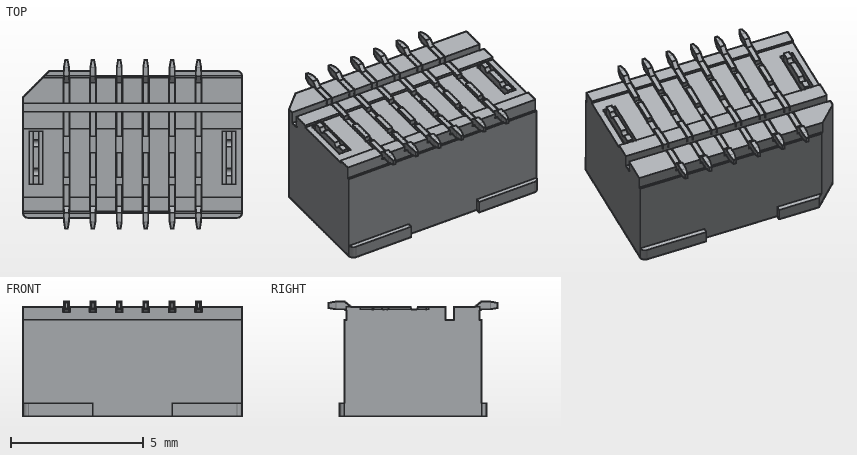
import cadquery as cq

housing_length = 8.3
housing_width = 5.2
housing_height = 4.15
shoulder_depth = 0.5
shoulder_inset = 0.08

foot_span_width = 5.57
foot_height = 0.5
foot_gap = 3.0
foot_corner_radius = 0.2
key_chamfer = 1.0

groove_back = 1.55
groove_front = 1.235
groove_depth = 0.5
recess_back = 0.59
recess_front = -2.0
recess_depth = 0.1

contact_count = 6
contact_pitch = 1.0
contact_width = 0.2
slot_width = 0.25
slot_depth = 0.2
tail_top = 4.35
tail_thickness = 0.3
tail_inner_bend = 2.34
tail_outer_bend = 2.59
tail_taper_start = 2.92
tail_end = 3.2
tail_side_taper = 0.05
tail_face_taper = 0.05
back_contact_end = 0.315
middle_contact_back = -0.31
middle_contact_front = -1.235
front_contact_end = -1.535

plate_offset = 3.655
plate_centre_y = -0.5
plate_length = 2.0
plate_thickness = 0.22
plate_pocket_width = 0.5
plate_pocket_depth = 0.3
notch_radius = 0.135
notch_spacing = 1.09

slot_floor = housing_height - slot_depth
recess_floor = housing_height - recess_depth
contact_positions = [
    (index - (contact_count - 1) / 2) * contact_pitch for index in range(contact_count)
]


def block(x_size, y_min, y_max, z_min, z_max, x_centre=0.0):
    """Box centred on x_centre between the given Y and Z limits."""
    return (
        cq.Workplane("XY", origin=(x_centre, (y_min + y_max) / 2, z_min))
        .box(x_size, y_max - y_min, z_max - z_min, centered=(True, True, False))
    )


def make_housing():
    """Stepped block on four feet, with one rear corner cut off as a key."""
    lower_half = housing_width / 2
    upper_half = lower_half - shoulder_inset
    shoulder_height = housing_height - shoulder_depth
    lower = block(housing_length, -lower_half, lower_half, 0, shoulder_height)
    upper = block(housing_length, -upper_half, upper_half, 0, housing_height)

    foot_half = foot_span_width / 2
    feet = block(housing_length, -foot_half, foot_half, 0, foot_height)
    feet = feet.edges("|Z").edges(">X or <Y").fillet(foot_corner_radius)
    for side in (-1, 1):
        gap_limits = sorted((side * lower_half, side * foot_half))
        feet = feet.cut(block(foot_gap, *gap_limits, 0, foot_height))

    key_corner = (
        cq.Workplane("XY")
        .moveTo(-housing_length / 2, foot_half)
        .lineTo(-housing_length / 2 + key_chamfer, foot_half)
        .lineTo(-housing_length / 2, foot_half - key_chamfer)
        .close()
        .extrude(housing_height)
    )
    return lower.union(upper).union(feet).cut(key_corner)


def cut_top_face(housing):
    """Cut the cross groove, the shallow recess and the contact slots."""
    groove_floor = housing_height - groove_depth
    housing = housing.cut(block(housing_length, groove_front, groove_back, groove_floor, housing_height))
    housing = housing.cut(block(housing_length, recess_front, recess_back, recess_floor, housing_height))
    for x in contact_positions:
        slot = block(slot_width, -housing_width / 2, housing_width / 2, slot_floor, housing_height, x)
        housing = housing.cut(slot)
    return housing


def make_tail(x, side, inner_end):
    """Contact lying in its slot from inner_end, bent up and out past the housing, with a tapered tip."""
    tail_bottom = tail_top - tail_thickness
    slope_run_per_rise = (tail_outer_bend - tail_inner_bend) / (tail_top - housing_height)
    underside_bend = tail_outer_bend - slope_run_per_rise * (tail_bottom - slot_floor)
    profile = [
        (side * inner_end, slot_floor),
        (side * inner_end, housing_height),
        (side * tail_inner_bend, housing_height),
        (side * tail_outer_bend, tail_top),
        (side * tail_taper_start, tail_top),
        (side * tail_taper_start, tail_bottom),
        (side * tail_outer_bend, tail_bottom),
        (side * underside_bend, slot_floor),
    ]
    bent_strip = (
        cq.Workplane("YZ", origin=(x - contact_width / 2, 0, 0))
        .polyline(profile)
        .close()
        .extrude(contact_width)
    )
    tip_plane = cq.Plane(
        origin=(x, side * tail_taper_start, tail_top - tail_thickness / 2),
        xDir=(1, 0, 0),
        normal=(0, side, 0),
    )
    tip = (
        cq.Workplane(tip_plane)
        .rect(contact_width, tail_thickness)
        .workplane(offset=tail_end - tail_taper_start)
        .rect(contact_width - 2 * tail_side_taper, tail_thickness - 2 * tail_face_taper)
        .loft(ruled=True)
    )
    return bent_strip.union(tip)


def add_contacts(housing):
    """Add the back tail, middle strip and front tail of every contact."""
    for x in contact_positions:
        back_strip = block(contact_width, back_contact_end, groove_front, slot_floor, housing_height, x)
        middle_strip = block(
            contact_width, middle_contact_front, middle_contact_back, slot_floor, housing_height, x
        )
        back_tail = make_tail(x, 1, groove_back)
        front_tail = make_tail(x, -1, -front_contact_end)
        for piece in (back_strip, middle_strip, back_tail, front_tail):
            housing = housing.union(piece)
    return housing


def add_retention_plate(housing, x):
    """Add an upright plate with two round notches, standing in its own pocket."""
    back = plate_centre_y + plate_length / 2
    front = plate_centre_y - plate_length / 2
    pocket_floor = recess_floor - plate_pocket_depth
    pocket = block(plate_pocket_width, front, back, pocket_floor, recess_floor, x)
    plate = block(plate_thickness, front, back, pocket_floor, housing_height, x)
    for side in (-1, 1):
        notch_y = plate_centre_y + side * notch_spacing / 2
        notch = (
            cq.Workplane("YZ", origin=(x - plate_thickness / 2, notch_y, housing_height))
            .circle(notch_radius)
            .extrude(plate_thickness)
        )
        plate = plate.cut(notch)
    return housing.cut(pocket).union(plate)


connector = cut_top_face(make_housing())
connector = add_contacts(connector)
for plate_side in (-1, 1):
    connector = add_retention_plate(connector, plate_side * plate_offset)

result = connector